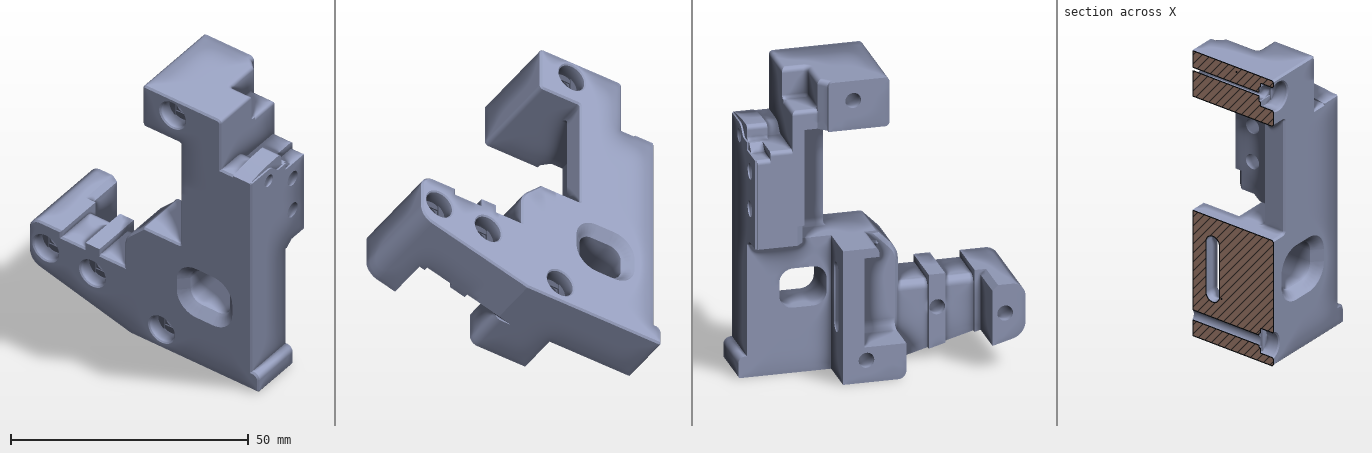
import cadquery as cq
import math

WIDTH, DEPTH, HEIGHT = 60.04, 21.6, 68.75
PLATE_DEPTH = 12.15
FRONT_CHAMFER = 0.4
HEAD_ROUND = 0.9
SMALL_ROUND = 0.5
MARGIN = 0.1

HEAD_LEFT, HEAD_RIGHT, HEAD_BOTTOM = 29.7, 50.15, 57.7
COLUMN_LEFT, COLUMN_RIGHT = 39.7, 58.2
SHOULDER_Z = 55.55
LEDGE_Z = 30.3
LEDGE_LEFT, STEP_LEFT = 30.0, 25.0
SHELF_Z = 17.4
NOSE_TOP, NOSE_RIGHT = 19.0, 8.5
NOSE_TOP_ROUND, NOSE_BOTTOM_ROUND = 3.0, 3.8
TAPER_START_Z, TAPER_END_X = 7.3, 26.6
STEP_ROUND, STEP_BACK_CHAMFER = 5.0, 0.9
FOOT_HEIGHT, FOOT_ROUND = 4.8, 1.5

BUMP_LEFT, BUMP_RIGHT = 14.9, 18.5
SHELF_DEPTH = 11.2
SHELF_BACK_ROUND = 1.8

POST_RIGHT, POST_CHAMFER = 7.2, 1.2

BLOCK_LEFT, BLOCK_RIGHT = 26.0, 39.8
BLOCK_BOTTOM_ROUND = 1.75
LIP_LEFT, LIP_ROUND = 31.9, 1.1
POCKET_FLOOR_X, POCKET_BOTTOM, POCKET_TOP = 35.1, 8.0, 28.2
POCKET_ROUND = 2.0
SLOT_WIDTH, SLOT_Y, SLOT_TOP, SLOT_BOTTOM = 3.5, 16.25, 25.75, 10.0

HEAD_BACK_RIGHT, HEAD_BACK_CORNER_X, HEAD_BACK_CORNER_Y = 44.7, 43.0, 20.8
HEAD_POCKET_Y, HEAD_POCKET_FLOOR = 10.9, 62.0
HEAD_POCKET_CORNER, HEAD_POCKET_RIM, HEAD_POCKET_FOOT = 0.8, 1.1, 0.7

WEB_LEFT, WEB_RIGHT, WEB_BACK, SIDE_WALL_BACK = 47.5, 57.8, 19.1, 18.7
WEB_BOTTOM, WEB_LOW_TOP = 31.6, 53.35
WEB_BACK_ROUND = 0.9
WEB_FOOT_START, WEB_FOOT_END = 14.2, 12.6
RECESS_Y, RECESS_ROUND = 5.2, 1.4
BEVEL_WIDTH, BEVEL_TOP = 1.55, 36.0
RIB_LEFT, RIB_START, RIB_END, RIB_DROP = 54.9, 12.6, 14.3, 1.7

PAD_LEFT, PAD_RIGHT, PAD_BACK, PAD_TOP = 53.4, 57.8, 11.7, 56.55
PAD_FLAT_Y, PAD_ROUND, PAD_CROWN_RATIO = 10.0, 1.0, 0.8
SHOULDER_SLOPE_START = 7.1
SHOULDER_FOOT_ROUND, SHOULDER_TOP_ROUND = 1.1, 2.8

SCREW_CENTRES = [(37.6, 64.3), (4.45, 12.5), (16.65, 11.55), (34.7, 5.05)]
SCREW_DIAMETER, HEAD_DIAMETER, HEAD_HOLE_DEPTH = 3.4, 6.4, 3.2
HEAD_HOLE_CHAMFER = 0.3
BRIDGE_STEP = 0.3
BEVEL_ANGLE = 45
WEB_HOLES = [(14.6, 47.7, 3.5), (14.6, 39.2, 3.5), (6.15, 52.55, 2.9)]
WINDOW_CENTRE = (45.95, 19.2)
WINDOW_SIZE = (10.3, 8.9)
WINDOW_ROUND, WINDOW_CHAMFER = 3.0, 2.1


def box(x0, x1, y0, y1, z0, z1):
    """Axis-aligned box between two corners."""
    return cq.Workplane("XY").box(x1 - x0, y1 - y0, z1 - z0, centered=False).translate((x0, y0, z0))


def along_y(x, z, y0, depth, diameter):
    """Cylinder parallel to Y."""
    return cq.Workplane("XZ", origin=(x, y0, z)).circle(diameter / 2).extrude(-depth)


def edge_at(x, z):
    """Selector for the Y-parallel edge through a point of the outline."""
    low_corner = (x - MARGIN, -MARGIN, z - MARGIN)
    high_corner = (x + MARGIN, DEPTH + MARGIN, z + MARGIN)
    return cq.selectors.BoxSelector(low_corner, high_corner)


def outline_prism(depth):
    """Front outline carried back to a depth, with its front edges chamfered."""
    step_rise = LEDGE_LEFT - STEP_LEFT
    points = [
        (0, TAPER_START_Z),
        (0, NOSE_TOP),
        (NOSE_RIGHT, NOSE_TOP),
        (NOSE_RIGHT, SHELF_Z),
        (STEP_LEFT, SHELF_Z),
        (STEP_LEFT, LEDGE_Z - step_rise),
        (LEDGE_LEFT, LEDGE_Z),
        (COLUMN_LEFT, LEDGE_Z),
        (COLUMN_LEFT, HEAD_BOTTOM),
        (HEAD_LEFT, HEAD_BOTTOM),
        (HEAD_LEFT, HEIGHT),
        (HEAD_RIGHT, HEIGHT),
        (HEAD_RIGHT, SHOULDER_Z),
        (COLUMN_RIGHT, SHOULDER_Z),
        (COLUMN_RIGHT, FOOT_HEIGHT),
        (WIDTH, FOOT_HEIGHT),
        (WIDTH, 0),
        (TAPER_END_X, 0),
    ]
    rounds = [
        (0, TAPER_START_Z, NOSE_BOTTOM_ROUND),
        (0, NOSE_TOP, NOSE_TOP_ROUND),
        (STEP_LEFT, LEDGE_Z - step_rise, STEP_ROUND),
        (HEAD_LEFT, HEAD_BOTTOM, HEAD_ROUND),
        (HEAD_LEFT, HEIGHT, HEAD_ROUND),
        (HEAD_RIGHT, HEIGHT, HEAD_ROUND),
        (COLUMN_LEFT, HEAD_BOTTOM, SMALL_ROUND),
        (COLUMN_LEFT, LEDGE_Z, SMALL_ROUND),
        (LEDGE_LEFT, LEDGE_Z, SMALL_ROUND),
        (WIDTH, FOOT_HEIGHT, FOOT_ROUND),
        (WIDTH, 0, SMALL_ROUND),
    ]
    prism = cq.Workplane("XZ").polyline(points).close().extrude(-depth)
    for x, z, radius in rounds:
        prism = prism.edges(edge_at(x, z)).fillet(radius)
    return prism.faces("<Y").chamfer(FRONT_CHAMFER)


def shelf_relief(x0, x1):
    """Material removed behind a shelf so that it ends in a rounded rear edge."""
    keep = box(x0, x1, 0, SHELF_DEPTH, 0, SHELF_Z).edges(">Y and >Z").fillet(SHELF_BACK_ROUND)
    rear = box(x0, x1, SHELF_DEPTH - SHELF_BACK_ROUND, PLATE_DEPTH, 0, SHELF_Z)
    return rear.cut(keep)


def step_back_bevel():
    """Cutter for the chamfer on the rear edge of the step and its sloping top."""
    corner = outline_prism(PLATE_DEPTH).intersect(
        box(STEP_LEFT, BLOCK_RIGHT, 0, PLATE_DEPTH, 0, LEDGE_Z - SMALL_ROUND)
    )
    rear_edges = cq.selectors.BoxSelector(
        (STEP_LEFT - MARGIN, PLATE_DEPTH - MARGIN, MARGIN),
        (LEDGE_LEFT, PLATE_DEPTH + MARGIN, LEDGE_Z),
    )
    return corner.cut(corner.edges(rear_edges).chamfer(STEP_BACK_CHAMFER))


def nose_post():
    """Full-depth post at the nose, chamfered along its upper right edge."""
    post = outline_prism(DEPTH).intersect(box(0, POST_RIGHT, 0, DEPTH, 0, HEIGHT))
    return post.edges(edge_at(POST_RIGHT, NOSE_TOP)).chamfer(POST_CHAMFER)


def rear_block():
    """Block behind the step: a base, a lipped wall and a slot through the wall."""
    base = box(BLOCK_LEFT, BLOCK_RIGHT, PLATE_DEPTH, DEPTH, 0, LEDGE_Z)
    base = base.edges("<X and <Z").fillet(BLOCK_BOTTOM_ROUND)
    upper = box(BLOCK_LEFT, LIP_LEFT, PLATE_DEPTH, DEPTH, POCKET_TOP, LEDGE_Z)
    pocket = box(BLOCK_LEFT, POCKET_FLOOR_X, PLATE_DEPTH, DEPTH, POCKET_BOTTOM, POCKET_TOP)
    pocket = pocket.edges("|X and <Y").fillet(POCKET_ROUND)
    tab_bottom = POCKET_BOTTOM + POCKET_ROUND
    tab = box(BLOCK_LEFT, LEDGE_LEFT, PLATE_DEPTH, DEPTH, tab_bottom, LEDGE_Z)
    block = base.cut(upper).cut(tab).cut(pocket)
    block = block.edges(edge_at(LIP_LEFT, LEDGE_Z)).fillet(LIP_ROUND)
    slot_length = SLOT_TOP - SLOT_BOTTOM
    slot = (
        cq.Workplane("YZ", origin=(BLOCK_LEFT, SLOT_Y, (SLOT_TOP + SLOT_BOTTOM) / 2))
        .slot2D(slot_length, SLOT_WIDTH, 90)
        .extrude(BLOCK_RIGHT - BLOCK_LEFT)
    )
    return block.cut(slot)


def head_rear():
    """Rear part of the head, behind the plate."""
    points = [
        (HEAD_LEFT, PLATE_DEPTH),
        (HEAD_LEFT, DEPTH),
        (HEAD_BACK_CORNER_X, DEPTH),
        (HEAD_BACK_CORNER_X, HEAD_BACK_CORNER_Y),
        (HEAD_BACK_RIGHT, WEB_BACK),
        (HEAD_BACK_RIGHT, PLATE_DEPTH),
    ]
    rear = cq.Workplane("XY", origin=(0, 0, HEAD_BOTTOM)).polyline(points).close()
    rear = rear.extrude(HEIGHT - HEAD_BOTTOM)
    for z in (HEAD_BOTTOM, HEIGHT):
        rear = rear.edges(edge_at(HEAD_LEFT, z)).fillet(HEAD_ROUND)
    return rear


def head_pocket():
    """Cutter for the stepped rear corner of the head, with a round foot and a flared rim."""
    stock = box(HEAD_LEFT, HEAD_RIGHT, 0, DEPTH, HEAD_POCKET_FLOOR, HEIGHT)
    step = (
        cq.Workplane("XY", origin=(0, 0, HEAD_POCKET_FLOOR))
        .polyline([
            (HEAD_BACK_CORNER_X, DEPTH),
            (HEAD_BACK_CORNER_X, HEAD_BACK_CORNER_Y),
            (HEAD_BACK_RIGHT, WEB_BACK),
            (HEAD_BACK_RIGHT, HEAD_POCKET_Y),
            (HEAD_RIGHT, HEAD_POCKET_Y),
            (HEAD_RIGHT, DEPTH),
        ])
        .close()
        .extrude(HEIGHT - HEAD_POCKET_FLOOR)
    )
    inner_corner = cq.selectors.NearestToPointSelector(
        (HEAD_BACK_RIGHT, HEAD_POCKET_Y, (HEAD_POCKET_FLOOR + HEIGHT) / 2)
    )
    step = step.edges(inner_corner).fillet(HEAD_POCKET_CORNER)
    foot = cq.selectors.BoxSelector(
        (HEAD_BACK_RIGHT - MARGIN, HEAD_POCKET_Y - MARGIN, HEAD_POCKET_FLOOR - MARGIN),
        (HEAD_RIGHT - MARGIN, WEB_BACK - MARGIN, HEAD_POCKET_FLOOR + MARGIN),
    )
    step = step.edges(foot).fillet(HEAD_POCKET_FOOT)
    rim = cq.selectors.BoxSelector(
        (HEAD_BACK_CORNER_X - MARGIN, HEAD_POCKET_Y - MARGIN, HEIGHT - MARGIN),
        (HEAD_RIGHT - MARGIN, DEPTH - MARGIN, HEIGHT + MARGIN),
    )
    shaped = stock.cut(step).edges(rim).fillet(HEAD_POCKET_RIM)
    return stock.cut(shaped)


def web():
    """Wall behind the column: a high part under the head and a low part under the shoulder."""
    high = box(WEB_LEFT, HEAD_RIGHT, PLATE_DEPTH, WEB_BACK, LEDGE_Z, HEAD_POCKET_FLOOR)
    head_link = box(HEAD_BACK_RIGHT, HEAD_RIGHT, PLATE_DEPTH, WEB_BACK, HEAD_BOTTOM, HEAD_POCKET_FLOOR)
    high = high.union(head_link)
    high = high.faces(">Z").edges(">X or >Y").fillet(WEB_BACK_ROUND)
    foot_right = HEAD_BACK_RIGHT + HEAD_POCKET_FOOT
    foot_back = WEB_BACK - WEB_BACK_ROUND
    foot = box(HEAD_BACK_RIGHT, foot_right, PLATE_DEPTH, foot_back, HEAD_BOTTOM, HEIGHT)
    high = high.union(foot.cut(head_pocket()))
    low = box(HEAD_RIGHT, WEB_RIGHT, PLATE_DEPTH, WEB_BACK, LEDGE_Z, WEB_LOW_TOP)
    corner_relief = (
        cq.Workplane("YZ", origin=(RIB_LEFT, 0, 0))
        .polyline([
            (RIB_START, WEB_LOW_TOP),
            (RIB_END, WEB_LOW_TOP - RIB_DROP),
            (WEB_BACK, WEB_LOW_TOP - RIB_DROP),
            (WEB_BACK, WEB_LOW_TOP),
        ])
        .close()
        .extrude(WEB_RIGHT - RIB_LEFT)
    )
    low = low.cut(corner_relief).faces(">Y").edges("|X and (not <Z)").fillet(WEB_BACK_ROUND)
    side_wall = box(WEB_RIGHT, COLUMN_RIGHT, PLATE_DEPTH, SIDE_WALL_BACK, LEDGE_Z, WEB_LOW_TOP - RIB_DROP)
    clearance = (
        cq.Workplane("YZ", origin=(WEB_LEFT, 0, 0))
        .polyline([
            (WEB_FOOT_END, LEDGE_Z),
            (WEB_FOOT_START, WEB_BOTTOM),
            (WEB_BACK, WEB_BOTTOM),
            (WEB_BACK, LEDGE_Z),
        ])
        .close()
        .extrude(COLUMN_RIGHT - WEB_LEFT)
    )
    bevel = (
        cq.Workplane("XY", origin=(0, 0, WEB_BOTTOM))
        .polyline([
            (WEB_LEFT, WEB_BACK - BEVEL_WIDTH),
            (WEB_LEFT, WEB_BACK),
            (WEB_LEFT + BEVEL_WIDTH, WEB_BACK),
        ])
        .close()
        .extrude(BEVEL_TOP - WEB_BOTTOM)
    )
    return high.union(low).union(side_wall).cut(clearance).cut(bevel)


def column_recess():
    """Cutter that thins the column behind its front strip."""
    recess = box(COLUMN_LEFT - SMALL_ROUND, WEB_LEFT, RECESS_Y, DEPTH, LEDGE_Z, HEAD_BOTTOM)
    return recess.edges("|X and <Y").fillet(RECESS_ROUND)


def shoulder_relief():
    """Step down from the shoulder to the low part of the web, with a 45 degree rounded face."""
    drop = SHOULDER_Z - WEB_LOW_TOP
    relief = (
        cq.Workplane("YZ", origin=(HEAD_RIGHT, 0, 0))
        .polyline([
            (SHOULDER_SLOPE_START, SHOULDER_Z),
            (SHOULDER_SLOPE_START + drop, WEB_LOW_TOP),
            (PLATE_DEPTH, WEB_LOW_TOP),
            (PLATE_DEPTH, SHOULDER_Z),
        ])
        .close()
        .extrude(COLUMN_RIGHT - HEAD_RIGHT)
    )
    return relief.faces("<Z").edges("<Y").fillet(SHOULDER_FOOT_ROUND)


def shoulder_pad():
    """Pad with a crowned top, a rounded rear edge and a flared foot."""
    crown = (PAD_FLAT_Y / 2, SHOULDER_Z + PAD_CROWN_RATIO * (PAD_TOP - SHOULDER_Z))
    wall_y = PAD_FLAT_Y + PAD_ROUND
    foot = PAD_BACK - wall_y
    slant = math.sqrt(0.5)
    return (
        cq.Workplane("YZ", origin=(PAD_LEFT, 0, 0))
        .moveTo(0, WEB_LOW_TOP)
        .lineTo(0, SHOULDER_Z)
        .threePointArc(crown, (PAD_FLAT_Y, PAD_TOP))
        .threePointArc(
            (PAD_FLAT_Y + PAD_ROUND * slant, PAD_TOP - PAD_ROUND * (1 - slant)),
            (wall_y, PAD_TOP - PAD_ROUND),
        )
        .lineTo(wall_y, WEB_LOW_TOP + foot)
        .threePointArc(
            (wall_y + foot * (1 - slant), WEB_LOW_TOP + foot * (1 - slant)),
            (PAD_BACK, WEB_LOW_TOP),
        )
        .close()
        .extrude(PAD_RIGHT - PAD_LEFT)
    )


def screw_hole(x, z):
    """Through hole with a chamfered head recess and two stepped bridging layers."""
    hole = along_y(x, z, 0, DEPTH, SCREW_DIAMETER)
    recess = along_y(x, z, 0, HEAD_HOLE_DEPTH, HEAD_DIAMETER)
    half = SCREW_DIAMETER / 2
    first = along_y(x, z, HEAD_HOLE_DEPTH, BRIDGE_STEP, HEAD_DIAMETER).intersect(
        box(x - half, x + half, 0, DEPTH, z - HEAD_DIAMETER, z + HEAD_DIAMETER)
    )
    second_end = HEAD_HOLE_DEPTH + 2 * BRIDGE_STEP
    second = box(x - half, x + half, HEAD_HOLE_DEPTH, second_end, z - half, z + half)
    mouth = (
        cq.Workplane("XZ", origin=(x, 0, z))
        .circle(HEAD_DIAMETER / 2 + HEAD_HOLE_CHAMFER)
        .extrude(-HEAD_HOLE_CHAMFER, taper=BEVEL_ANGLE)
    )
    return hole.union(recess).union(first).union(second).union(mouth)


def window():
    """Cutter for the rounded rectangular window with its flared mouth."""
    x, z = WINDOW_CENTRE
    width, height = WINDOW_SIZE
    opening = cq.Workplane("XZ", origin=(x, 0, z)).rect(width, height).extrude(-DEPTH)
    opening = opening.edges("|Y").fillet(WINDOW_ROUND)
    rim = (
        cq.Sketch()
        .rect(width + 2 * WINDOW_CHAMFER, height + 2 * WINDOW_CHAMFER)
        .vertices()
        .fillet(WINDOW_ROUND + WINDOW_CHAMFER)
    )
    mouth = cq.Workplane("XZ", origin=(x, 0, z)).placeSketch(rim).extrude(-WINDOW_CHAMFER, taper=BEVEL_ANGLE)
    return opening.union(mouth)


def round_shoulder_edge(body):
    """Round the crest where the shoulder starts to slope down."""
    crest = cq.selectors.BoxSelector(
        (HEAD_RIGHT - MARGIN, SHOULDER_SLOPE_START - MARGIN, SHOULDER_Z - MARGIN),
        (COLUMN_RIGHT + MARGIN, SHOULDER_SLOPE_START + MARGIN, SHOULDER_Z + MARGIN),
    )
    return body.edges(crest).fillet(SHOULDER_TOP_ROUND)


result = outline_prism(PLATE_DEPTH)
result = result.cut(shelf_relief(NOSE_RIGHT, BUMP_LEFT)).cut(shelf_relief(BUMP_RIGHT, STEP_LEFT))
result = result.cut(step_back_bevel())
result = result.union(box(BUMP_LEFT, BUMP_RIGHT, 0, PLATE_DEPTH, SHELF_Z - FRONT_CHAMFER, NOSE_TOP))
block = rear_block().intersect(outline_prism(DEPTH))
result = result.union(nose_post()).union(block).union(head_rear())
result = result.cut(column_recess()).cut(shoulder_relief()).union(web())
result = result.cut(head_pocket())
result = round_shoulder_edge(result).union(shoulder_pad())
for centre_x, centre_z in SCREW_CENTRES:
    result = result.cut(screw_hole(centre_x, centre_z))
result = result.cut(window())
for y, z, diameter in WEB_HOLES:
    drill = cq.Workplane("YZ", origin=(WEB_LEFT, y, z)).circle(diameter / 2)
    result = result.cut(drill.extrude(WIDTH - WEB_LEFT))